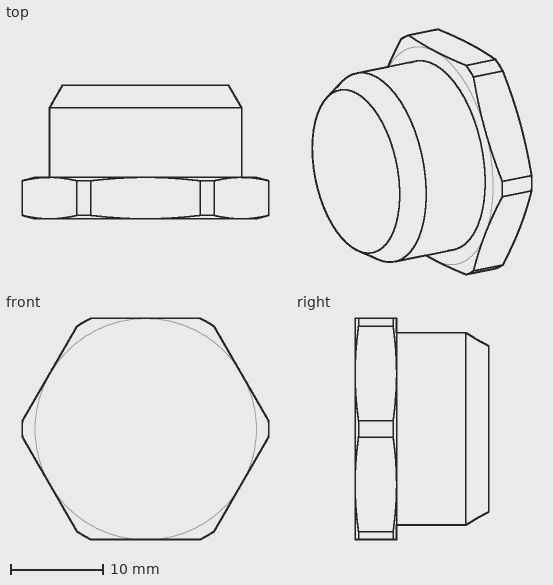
import cadquery as cq
import math

across_flats = 24.0
corner_diameter = 26.75
head_thickness = 4.5
head_chamfer_angle = 15.0

plug_diameter = 20.86
plug_length = 10.0
tip_length = 2.5
tip_half_angle = 30.0

flat_radius = across_flats / 2
corner_radius = corner_diameter / 2
plug_radius = plug_diameter / 2
total_length = head_thickness + plug_length


def revolve_about_y(points):
    """Turn a closed (radius, y) outline about the Y axis."""
    outline = cq.Workplane("XY").polyline(points).close()
    return outline.revolve(360, (0, 0, 0), (0, 1, 0))


def make_head():
    """Hexagonal prism with corners on the X axis and both faces chamfered."""
    hexagon = (
        cq.Workplane("XZ")
        .polygon(6, across_flats / math.cos(math.radians(30)))
        .extrude(-head_thickness)
    )
    chamfer_depth = (corner_radius - flat_radius) * math.tan(math.radians(head_chamfer_angle))
    turned_blank = revolve_about_y([
        (0, 0),
        (flat_radius, 0),
        (corner_radius, chamfer_depth),
        (corner_radius, head_thickness - chamfer_depth),
        (flat_radius, head_thickness),
        (0, head_thickness),
    ])
    return hexagon.intersect(turned_blank)


def make_plug():
    """Solid plug that starts at the head's outer face so the two parts overlap."""
    tip_radius = plug_radius - tip_length * math.tan(math.radians(tip_half_angle))
    return revolve_about_y([
        (0, 0),
        (plug_radius, 0),
        (plug_radius, total_length - tip_length),
        (tip_radius, total_length),
        (0, total_length),
    ])


result = make_head().union(make_plug()).clean()